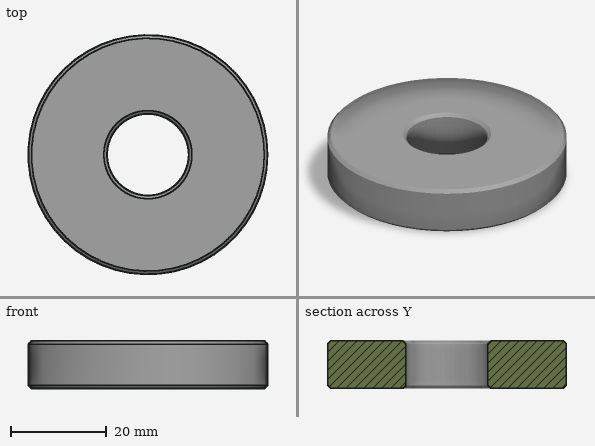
import cadquery as cq

outer_diameter = 50
bore_diameter = 17
thickness = 10
edge_chamfer = 0.7

ring = (
    cq.Workplane("XY")
    .circle(outer_diameter / 2)
    .circle(bore_diameter / 2)
    .extrude(thickness)
)

result = ring.faces("<Z or >Z").edges().chamfer(edge_chamfer)